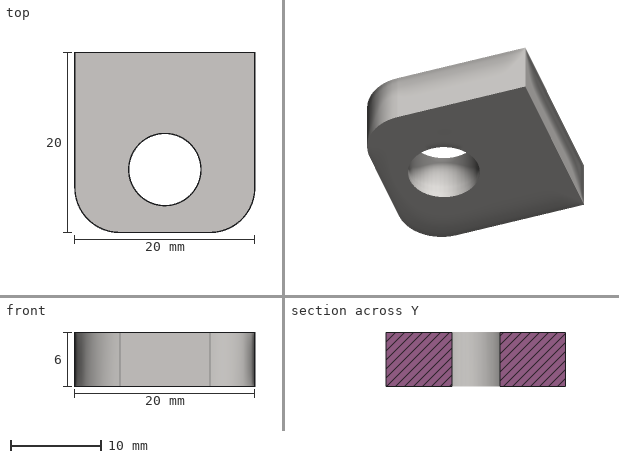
import cadquery as cq

side = 20.0
thickness = 6.0
corner_radius = 5.0
hole_diameter = 8.0
hole_from_front = 7.0

block = (
    cq.Workplane("XY")
    .box(side, side, thickness)
    .faces("<Y")
    .edges("|Z")
    .fillet(corner_radius)
)

hole_y = hole_from_front - side / 2
hole = (
    cq.Workplane("XY", origin=(0, hole_y, -thickness / 2))
    .circle(hole_diameter / 2)
    .extrude(thickness)
)

result = block.cut(hole)